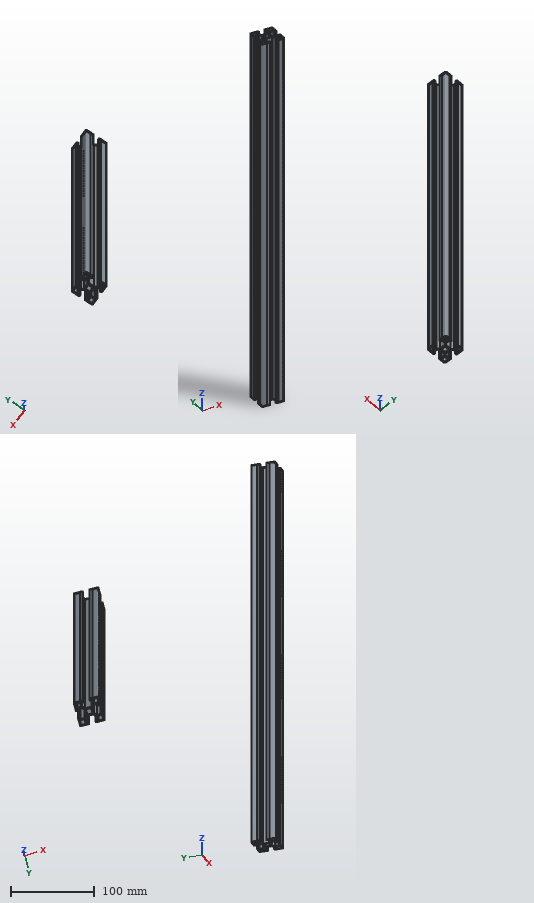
import cadquery as cq
import math

width = 30.0
length = 500.0
outer_corner_radius = 1.0

slot_opening = 8.5
slot_inner_width = 13.5
lip_thickness = 2.5
lip_chamfer = 0.25

core_width = 9.5
bore_width = 7.0
bore_corner_radius = 1.0

web_thickness = 1.3

chamber_wall = 1.0
chamber_corner_radius = 1.2

half_width = width / 2
block_inner = slot_inner_width / 2
lip_end = slot_opening / 2
quarter_turns = (0, 90, 180, 270)
outward_diagonal = cq.Vector(1, 1, 0)


def bar(x_start, x_end, y_start, y_end):
    """Full-length rectangular bar between the given limits in X and Y."""
    section = cq.Workplane("XY").center((x_start + x_end) / 2, (y_start + y_end) / 2)
    return section.rect(x_end - x_start, y_end - y_start).extrude(length)


def round_outward_edge(body, radius):
    """Fillet the lengthwise edge that points away from the bar's axis."""
    return body.edges("|Z").edges(cq.selectors.DirectionMinMaxSelector(outward_diagonal)).fillet(radius)


def make_lip():
    """Lip along the +Y side, chamfered on its outer edge at the slot mouth."""
    lip = bar(lip_end, half_width, half_width - lip_thickness, half_width)
    return lip.edges("<X and >Y").chamfer(lip_chamfer)


def make_corner():
    """Hollow corner block with a lip reaching over each neighbouring slot."""
    block = bar(block_inner, half_width, block_inner, half_width)
    lip = make_lip()
    other_lip = lip.mirror("YZ").rotate((0, 0, 0), (0, 0, 1), -90)
    corner = round_outward_edge(block.union(lip).union(other_lip), outer_corner_radius)

    chamber_start = block_inner + chamber_wall
    chamber_end = half_width - chamber_wall
    chamber = bar(chamber_start, chamber_end, chamber_start, chamber_end)
    return corner.cut(round_outward_edge(chamber, chamber_corner_radius))


def make_web():
    """Diagonal web whose ends are sunk into the core and the corner block."""
    overlap = web_thickness / 2
    core_corner = core_width / 2 * math.sqrt(2)
    block_corner = block_inner * math.sqrt(2)
    web = bar(core_corner - overlap, block_corner + overlap, -web_thickness / 2, web_thickness / 2)
    return web.rotate((0, 0, 0), (0, 0, 1), 45)


quarter = make_corner().union(make_web())
result = cq.Workplane("XY").rect(core_width, core_width).extrude(length)
for angle in quarter_turns:
    result = result.union(quarter.rotate((0, 0, 0), (0, 0, 1), angle))

bore = cq.Workplane("XY").rect(bore_width, bore_width).extrude(length)
bore = bore.edges("|Z").fillet(bore_corner_radius)
result = result.cut(bore)